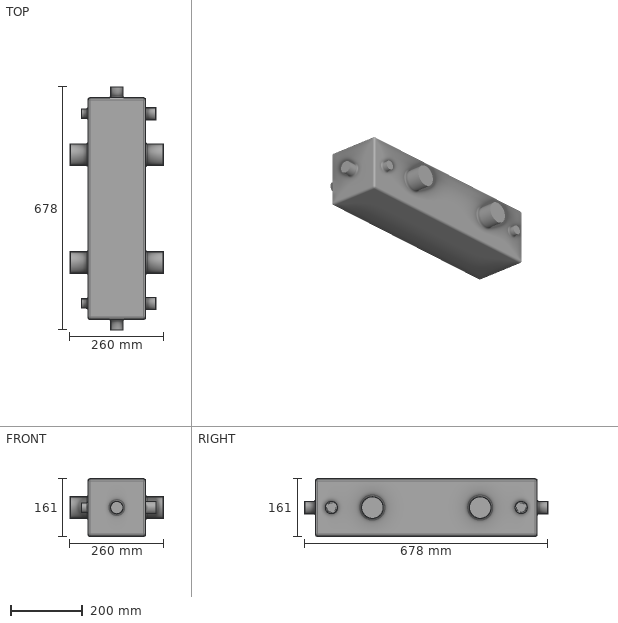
import cadquery as cq

body_width = 161.0
body_length = 617.5
body_edge_radius = 6.0

span_x = 260.0
span_y = 678.0

main_diameter = 60.5
main_spacing = 300.5
main_projection = (span_x - body_width) / 2

end_diameter = 34.5
end_projection = (span_y - body_length) / 2

port_spacing = 529.0
small_port_diameter = 26.5
small_port_projection = 18.0
large_port_diameter = 34.0
large_port_projection = 28.5

weld_radius = 5.0


def stub(foot, direction, diameter, projection, weld=0.0):
    """Solid round stub revolved about its axis, with an optional concave weld fillet at the foot."""
    outward = cq.Vector(*direction)
    radial = cq.Vector(0, 0, 1)
    profile_plane = cq.Plane(origin=foot, xDir=radial, normal=radial.cross(outward))
    radius = diameter / 2

    profile = cq.Workplane(profile_plane).lineTo(radius + weld, 0)
    if weld:
        profile = profile.radiusArc((radius, weld), weld)
    profile = profile.lineTo(radius, projection).lineTo(0, projection).close()
    return profile.revolve(360, (0, 0), (0, 1))


def side_stub(side, y, diameter, projection, weld=0.0):
    """Stub on the -X face (side -1) or the +X face (side 1) at position y."""
    return stub((side * body_width / 2, y, 0), (side, 0, 0), diameter, projection, weld)


def end_stub(end):
    """Stub at the centre of the -Y face (end -1) or the +Y face (end 1)."""
    return stub((0, end * body_length / 2, 0), (0, end, 0), end_diameter, end_projection, weld_radius)


result = cq.Workplane("XY").box(body_width, body_length, body_width).edges().fillet(body_edge_radius)

for end in (-1, 1):
    main_y = end * main_spacing / 2
    port_y = end * port_spacing / 2
    result = result.union(end_stub(end))
    for side in (-1, 1):
        result = result.union(side_stub(side, main_y, main_diameter, main_projection, weld_radius))
    result = result.union(side_stub(-1, port_y, small_port_diameter, small_port_projection, weld_radius))
    result = result.union(side_stub(1, port_y, large_port_diameter, large_port_projection))